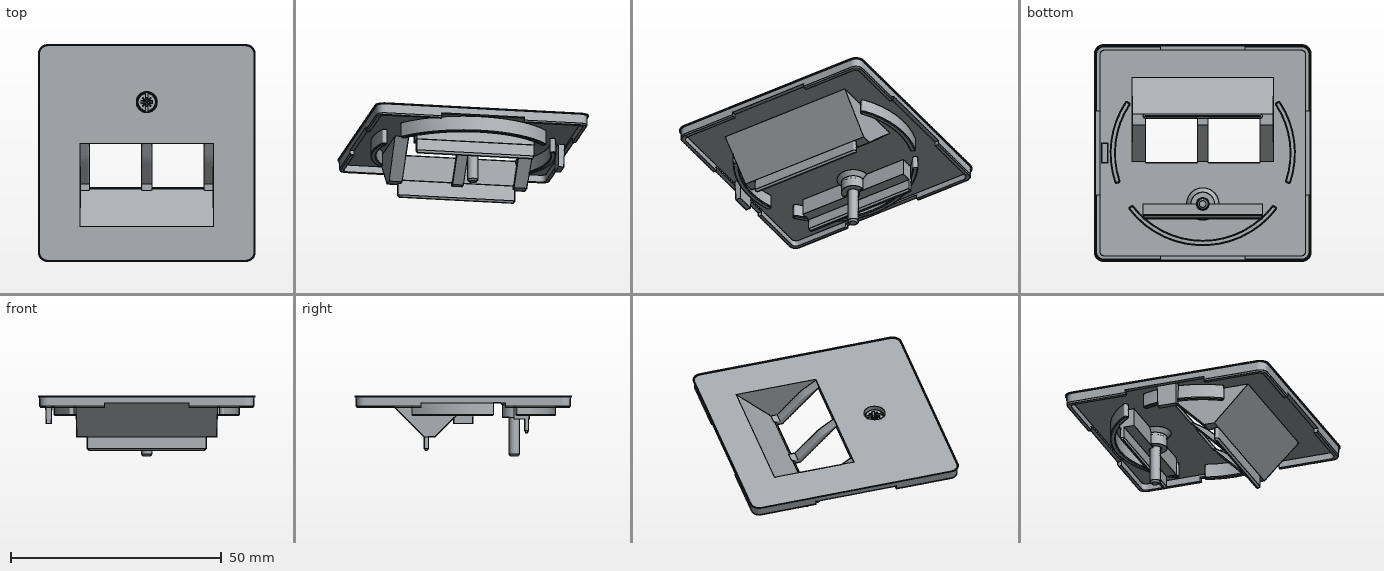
import cadquery as cq
import math

PLATE_SIZE = 51.4
LIP_HEIGHT = 0.2
LIP_OVERHANG = 0.25
LIP_CORNER_RADIUS = 2.2
SKIRT_DEPTH = 2.7
SKIRT_DRAFT = 1.5
SKIRT_WALL = 1.05
SKIRT_CHAMFER_HEIGHT = 0.35
SKIRT_CHAMFER_WIDTH = 0.2
PLATE_THICKNESS = 1.1
NOTCH_WIDTH = 19.95
NOTCH_TOP_Z = -1.65

WINDOW_WIDTH = 31.75
WINDOW_FRONT_Y = -17.4
WINDOW_BACK_Y = 2.25
HOUSING_WIDTH = 33.7
HOUSING_DRAFT = 1.5
HOUSING_BOTTOM_Z = -9.7
RAMP_THICKNESS_Z = 1.6
HOUSING_FLOOR_BACK_Y = -6.7
RAMP_FOOT_Z = -8.85

BAR_WIDTH = 2.55
SIDE_BAR_INNER_X = 13.5
BAR_FLAT_Z = -8.55
BAR_FLAT_BACK_Y = -7.35
BAR_BEND_START_Y = -2.35
BAR_BEND_END_Y = -0.5
BAR_UPPER_ANGLE = 33.0
BAR_FILLET = 0.45
SIDE_BAR_EMBED = 0.25
UPWARD_NORMAL = 0.1

BLADE_HALF_LENGTH = 14.15
FRONT_BLADE_END_FILLET = 0.5
FRONT_BLADE_BEVEL = 0.45
BACK_BLADE_BEVEL_HEIGHT = 0.55
BACK_BLADE_BEVEL_WIDTH = 0.25
FRONT_BLADE_Y = (-9.3, -8.2)
FRONT_BLADE_BOTTOM_Z = -12.95
BACK_BLADE_Y = (14.55, 15.45)
BACK_BLADE_BOTTOM_Z = -8.75
BACK_BLOCK_Y = (12.0, 15.65)
BACK_BLOCK_BOTTOM_Z = -5.5

RING_OUTER_RADIUS = 21.95
RING_INNER_RADIUS = 20.7
RING_END_FILLET = 0.4
RING_BOTTOM_CHAMFER = 0.2
RING_BOTTOM_Z = -4.6
BACK_SEGMENT_ANGLES = (36.5, 143.5)
LEFT_SEGMENT_ANGLES = (160.6, 214.3)

TAB_OUTER_X = -24.0
TAB_THICKNESS = 1.55
TAB_WIDTH = 4.85
TAB_BOTTOM_Z = -6.6
TAB_DRAFT = 1.5

SCREW_Y = 12.1
BOSS_DIAMETER = 5.6
BOSS_BOTTOM_Z = -5.1
BOSS_ROOT_FLARE = 1.05
COUNTERBORE_DIAMETER = 5.0
COUNTERBORE_DEPTH = 2.55
CLEARANCE_DIAMETER = 3.0
HEAD_DIAMETER = 4.6
HEAD_TOP_Z = -0.7
HEAD_CHAMFER = 0.25
SHANK_DIAMETER = 2.5
SHANK_END_Z = -14.3
SHANK_CHAMFER = 0.45
SLOT_WIDTH = 0.65
SLOT_DEPTH = 0.5
CROSS_SPAN = 2.8
CROSS_TIP_SPAN = 1.25
CROSS_DEPTH = 1.35
CROSS_CENTRE_DIAMETER = 1.55
CROSS_CENTRE_DEPTH = 1.65
TICK_LENGTH = 2.8
TICK_WIDTH = 0.2
TICK_DEPTH = 0.15


def block(x_range, y_range, z_range):
    """Axis-aligned box given by its limits."""
    (x0, x1), (y0, y1), (z0, z1) = x_range, y_range, z_range
    return cq.Workplane("XY").box(x1 - x0, y1 - y0, z1 - z0, centered=False).translate((x0, y0, z0))


def side_profile(points, half_width):
    """Prism across X with the given (Y, Z) outline."""
    return cq.Workplane("YZ").polyline(points).close().extrude(half_width, both=True)


def drafted_box(width, y_range, depth, draft):
    """Box hanging from Z = 0 whose walls lean inward going down."""
    y0, y1 = y_range
    return (
        cq.Workplane("XY")
        .center(0, (y0 + y1) / 2)
        .rect(width, y1 - y0)
        .extrude(-depth, taper=draft)
    )


def plate_shell():
    """Thin overhanging lip on a drafted skirt, hollow below and notched mid-way along every side."""
    lip = (
        cq.Workplane("XY")
        .rect(PLATE_SIZE, PLATE_SIZE)
        .extrude(-LIP_HEIGHT)
        .edges("|Z")
        .fillet(LIP_CORNER_RADIUS)
    )
    skirt_size = PLATE_SIZE - 2 * LIP_OVERHANG
    skirt_radius = LIP_CORNER_RADIUS - LIP_OVERHANG
    skirt_outline = cq.Sketch().rect(skirt_size, skirt_size).vertices().fillet(skirt_radius)
    skirt = (
        cq.Workplane("XY", origin=(0, 0, -LIP_HEIGHT))
        .placeSketch(skirt_outline)
        .extrude(-(SKIRT_DEPTH - LIP_HEIGHT), taper=SKIRT_DRAFT)
        .faces("<Z")
        .chamfer(SKIRT_CHAMFER_HEIGHT, SKIRT_CHAMFER_WIDTH)
    )
    inner = skirt_size / 2 - SKIRT_WALL
    pocket = block((-inner, inner), (-inner, inner), (-SKIRT_DEPTH, -PLATE_THICKNESS))
    pocket = pocket.edges("|Z").fillet(LIP_CORNER_RADIUS - SKIRT_WALL)
    shell = lip.union(skirt).cut(pocket)
    half_notch = NOTCH_WIDTH / 2
    along, across = (-half_notch, half_notch), (-PLATE_SIZE, PLATE_SIZE)
    notch_z = (-SKIRT_DEPTH, NOTCH_TOP_Z)
    return shell.cut(block(along, across, notch_z)).cut(block(across, along, notch_z))


def housing_outline():
    """Closed (Y, Z) outline of the V, with 45 degree sides."""
    ramp_top_y = WINDOW_FRONT_Y - RAMP_THICKNESS_Z
    floor_front_y = ramp_top_y - HOUSING_BOTTOM_Z
    rear_rise = -PLATE_THICKNESS - HOUSING_BOTTOM_Z
    return [
        (ramp_top_y + PLATE_THICKNESS, -PLATE_THICKNESS),
        (floor_front_y, HOUSING_BOTTOM_Z),
        (HOUSING_FLOOR_BACK_Y, HOUSING_BOTTOM_Z),
        (HOUSING_FLOOR_BACK_Y + rear_rise, -PLATE_THICKNESS),
    ]


def housing_solid():
    walls = drafted_box(HOUSING_WIDTH, (-PLATE_SIZE, PLATE_SIZE), -HOUSING_BOTTOM_Z, HOUSING_DRAFT)
    return side_profile(housing_outline(), HOUSING_WIDTH).intersect(walls)


def window_void():
    """Opening through the plate, bounded below by the ramp and open behind it."""
    ramp_foot_y = WINDOW_FRONT_Y - RAMP_FOOT_Z
    opening_front_y = FRONT_BLADE_Y[1]
    outline = [
        (WINDOW_FRONT_Y, 0),
        (ramp_foot_y, RAMP_FOOT_Z),
        (opening_front_y, RAMP_FOOT_Z),
        (opening_front_y, HOUSING_BOTTOM_Z),
        (WINDOW_BACK_Y, HOUSING_BOTTOM_Z),
        (WINDOW_BACK_Y, 0),
    ]
    walls = drafted_box(WINDOW_WIDTH, (-PLATE_SIZE, PLATE_SIZE), -HOUSING_BOTTOM_Z, HOUSING_DRAFT)
    return side_profile(outline, WINDOW_WIDTH).intersect(walls)


def bar(x0, x1, rounded_sides):
    """V-shaped bar: flat foot, 45 degree rise, smooth bend, then a flatter rise to the window's back."""
    bend_start_z = BAR_FLAT_Z + BAR_BEND_START_Y - BAR_FLAT_BACK_Y
    mean_slope = math.tan(math.radians((45 + BAR_UPPER_ANGLE) / 2))
    bend_end_z = bend_start_z + mean_slope * (BAR_BEND_END_Y - BAR_BEND_START_Y)
    top_z = bend_end_z + math.tan(math.radians(BAR_UPPER_ANGLE)) * (WINDOW_BACK_Y - BAR_BEND_END_Y)
    _, floor_front, floor_back, rear_top = housing_outline()
    profile = (
        cq.Workplane("YZ", origin=(x0, 0, 0))
        .moveTo(floor_front[0], BAR_FLAT_Z)
        .lineTo(BAR_FLAT_BACK_Y, BAR_FLAT_Z)
        .lineTo(BAR_BEND_START_Y, bend_start_z)
        .tangentArcPoint((BAR_BEND_END_Y, bend_end_z), relative=False)
        .lineTo(WINDOW_BACK_Y, top_z)
        .lineTo(WINDOW_BACK_Y, rear_top[1])
        .lineTo(*rear_top)
        .lineTo(*floor_back)
        .lineTo(*floor_front)
        .close()
    )
    solid = profile.extrude(x1 - x0)
    for side in rounded_sides:
        top_faces = solid.faces().filter(lambda face: face.normalAt().z > UPWARD_NORMAL)
        solid = top_faces.edges(side).fillet(BAR_FILLET)
    return solid


def bars():
    """Middle bar, and two side bars that run slightly into the housing walls."""
    wall_x = WINDOW_WIDTH / 2 + SIDE_BAR_EMBED
    middle = bar(-BAR_WIDTH / 2, BAR_WIDTH / 2, ["<X", ">X"])
    left = bar(-wall_x, -SIDE_BAR_INNER_X, [">X"])
    right = bar(SIDE_BAR_INNER_X, wall_x, ["<X"])
    return [left, middle, right]


def blade(y_range, z_range):
    """Thin wall across X."""
    return block((-BLADE_HALF_LENGTH, BLADE_HALF_LENGTH), y_range, z_range)


def front_blade():
    wall = blade(FRONT_BLADE_Y, (FRONT_BLADE_BOTTOM_Z, RAMP_FOOT_Z))
    return wall.edges("|Z").fillet(FRONT_BLADE_END_FILLET).faces("<Z").chamfer(FRONT_BLADE_BEVEL)


def back_blade():
    """Blade hanging from the block behind the screw boss."""
    wall = blade(BACK_BLADE_Y, (BACK_BLADE_BOTTOM_Z, BACK_BLOCK_BOTTOM_Z))
    wall = wall.faces("<Z").chamfer(BACK_BLADE_BEVEL_HEIGHT, BACK_BLADE_BEVEL_WIDTH)
    return wall.union(blade(BACK_BLOCK_Y, (BACK_BLOCK_BOTTOM_Z, -PLATE_THICKNESS)))


def ring_segment(start_angle, end_angle):
    """Arc-shaped wall with rounded ends and a bevelled lower rim."""
    height = -PLATE_THICKNESS - RING_BOTTOM_Z
    wall = (
        cq.Workplane("XZ")
        .moveTo(RING_INNER_RADIUS, RING_BOTTOM_Z)
        .rect(RING_OUTER_RADIUS - RING_INNER_RADIUS, height, centered=False)
        .revolve(end_angle - start_angle, (0, 0, 0), (0, -1, 0))
    )
    wall = wall.edges("|Z").fillet(RING_END_FILLET).faces("<Z").chamfer(RING_BOTTOM_CHAMFER)
    return wall.rotate((0, 0, 0), (0, 0, 1), end_angle)


def key_tab():
    depth = -TAB_BOTTOM_Z - PLATE_THICKNESS
    return (
        cq.Workplane("XY", origin=(TAB_OUTER_X + TAB_THICKNESS / 2, 0, -PLATE_THICKNESS))
        .rect(TAB_THICKNESS, TAB_WIDTH)
        .extrude(-depth, taper=TAB_DRAFT)
    )


def vertical_cylinder(diameter, top_z, bottom_z):
    return (
        cq.Workplane("XY", origin=(0, SCREW_Y, bottom_z))
        .circle(diameter / 2)
        .extrude(top_z - bottom_z)
    )


def cone(top_diameter, top_z, height):
    """Cone about the screw axis, pointing down."""
    return cq.Workplane(cq.Solid.makeCone(
        top_diameter / 2, 0, height, pnt=cq.Vector(0, SCREW_Y, top_z), dir=cq.Vector(0, 0, -1)
    ))


def screw_boss():
    """Boss that flares out at 45 degrees where it joins the plate."""
    boss = vertical_cylinder(BOSS_DIAMETER, -PLATE_THICKNESS, BOSS_BOTTOM_Z)
    root_radius = BOSS_DIAMETER / 2 + BOSS_ROOT_FLARE
    return boss.union(cone(2 * root_radius, -PLATE_THICKNESS, root_radius))


def make_cover():
    cover = plate_shell().union(housing_solid()).cut(window_void())
    for piece in bars():
        cover = cover.union(piece)
    cover = cover.union(front_blade()).union(back_blade())

    left_segment = ring_segment(*LEFT_SEGMENT_ANGLES)
    for segment in (ring_segment(*BACK_SEGMENT_ANGLES), left_segment, left_segment.mirror("YZ")):
        cover = cover.union(segment)
    cover = cover.union(key_tab())

    cover = cover.union(screw_boss())
    cover = cover.cut(vertical_cylinder(COUNTERBORE_DIAMETER, 0, -COUNTERBORE_DEPTH))
    return cover.cut(vertical_cylinder(CLEARANCE_DIAMETER, 0, BACK_BLOCK_BOTTOM_Z))


def cross_arm(x_span, y_span, x_tip, y_tip):
    """Recess in the screw head that narrows going down."""
    return (
        cq.Workplane("XY", origin=(0, SCREW_Y, HEAD_TOP_Z))
        .rect(x_span, y_span)
        .workplane(offset=-CROSS_DEPTH)
        .rect(x_tip, y_tip)
        .loft()
    )


def make_screw():
    """Screw resting on the counterbore floor, with a slot and a tapered cross in its head."""
    head = vertical_cylinder(HEAD_DIAMETER, HEAD_TOP_Z, -COUNTERBORE_DEPTH)
    head = head.faces(">Z").chamfer(HEAD_CHAMFER)
    shank = vertical_cylinder(SHANK_DIAMETER, -COUNTERBORE_DEPTH, SHANK_END_Z)
    shank = shank.faces("<Z").chamfer(SHANK_CHAMFER)
    screw = head.union(shank)

    head_top = cq.Workplane("XY", origin=(0, SCREW_Y, HEAD_TOP_Z))
    screw = screw.cut(head_top.rect(SLOT_WIDTH, HEAD_DIAMETER).extrude(-SLOT_DEPTH))
    screw = screw.cut(cross_arm(CROSS_SPAN, SLOT_WIDTH, CROSS_TIP_SPAN, SLOT_WIDTH / 2))
    screw = screw.cut(cross_arm(SLOT_WIDTH, CROSS_SPAN, SLOT_WIDTH / 2, CROSS_TIP_SPAN))
    screw = screw.cut(cone(CROSS_CENTRE_DIAMETER, HEAD_TOP_Z, CROSS_CENTRE_DEPTH))
    for angle in (45, 135):
        tick = head_top.transformed(rotate=(0, 0, angle)).rect(TICK_LENGTH, TICK_WIDTH).extrude(-TICK_DEPTH)
        screw = screw.cut(tick)
    return screw


cover = make_cover()
screw = make_screw()
result = cq.Compound.makeCompound([cover.val(), screw.val()])